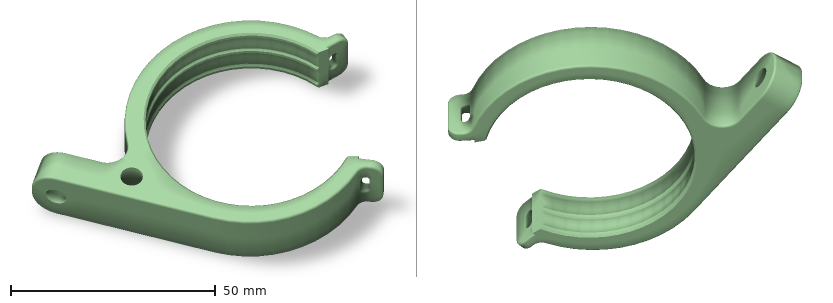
import cadquery as cq
import math

width = 14.5
half_width = width / 2
edge_radius = 0.6

liner_seat_radius = 27.95
liner_end_radius = 28.5
liner_bore_radius = 26.25

rib_height = 0.5
rib_base = 1.8
rib_crest = 0.8
rib_levels = (rib_base / 2 - half_width, 0, half_width - rib_base / 2)

upper_arc_radius = 30.7
upper_arc_y = -0.5
lower_arc_radius = 30.0
lower_arc_y = -1.15
base_y = lower_arc_y - lower_arc_radius

opening_angle = 30.0
jaw_corner_u = 20.1
jaw_corner_v = 16.0
jaw_slope = 21.0
liner_slope = 12.0
opening_reach = 24.45
opening_overlap = 6.1

lip_length = 9.4
lip_thickness = 2.6
lip_blend_radius = 2.8
lip_corner_radius = 3.0

slot_length = 5.7
slot_width = 2.1
slot_offset = 5.0
slot_edge_radius = 0.4
slot_cutter_reach = 8.15

arm_end_x = -46.55
arm_thickness = 8.4
arm_corner_radius = 6.3
arm_blend_radius = 5.0
arm_top_y = base_y + arm_thickness

bolt_diameter = 5.2
bolt_x = arm_end_x + 6.3
pin_diameter = 5.5
pin_x = -22.8
pin_y = -25.0
pin_depth = half_width

tolerance = 0.04


def prism(sketch):
    return sketch.extrude(half_width, both=True)


def disc(radius):
    return prism(cq.Workplane("XY").circle(radius))


def turned(body):
    """Turn a body from the opening axis along +X to its real direction."""
    return body.rotate((0, 0, 0), (0, 0, 1), opening_angle)


def opening(slope):
    """Wedge that opens the ring between the two jaws."""
    slant = math.tan(math.radians(slope))
    near_u = jaw_corner_u - opening_overlap
    near_v = jaw_corner_v - opening_overlap * slant
    far_u = jaw_corner_u + opening_reach
    far_v = jaw_corner_v + opening_reach * slant
    corners = [(near_u, near_v), (far_u, far_v), (far_u, -far_v), (near_u, -near_v)]
    return turned(prism(cq.Workplane("XY").polyline(corners).close()))


def placed_on_jaw(body, side):
    """Move a body from a lip's own axes (X along it, Y outward) to one of the jaws."""
    body = body.rotate((0, 0, 0), (0, 0, 1), jaw_slope)
    body = body.translate((jaw_corner_u, jaw_corner_v, 0))
    if side < 0:
        body = body.mirror("XZ")
    return turned(body)


def lip(side):
    blank = cq.Workplane("XY").box(lip_length, lip_thickness, width, centered=(False, False, True))
    return placed_on_jaw(blank.faces(">X").edges("|Y").fillet(lip_corner_radius), side)


def slot(side):
    cutter = (
        cq.Workplane("XZ")
        .center(slot_offset, 0)
        .slot2D(slot_length, slot_width, 90)
        .extrude(slot_cutter_reach, both=True)
    )
    return placed_on_jaw(cutter, side)


def ring_and_arm():
    """Outline of the shell and the arm, still without opening and bore."""
    blend_y = arm_top_y + arm_blend_radius
    reach = upper_arc_radius + arm_blend_radius
    blend_x = -math.sqrt(reach**2 - (blend_y - upper_arc_y) ** 2)
    share = upper_arc_radius / reach
    blend_end = (blend_x * share, upper_arc_y + (blend_y - upper_arc_y) * share)

    outline = (
        cq.Workplane("XY")
        .moveTo(arm_end_x, base_y)
        .lineTo(0, base_y)
        .radiusArc((lower_arc_radius, lower_arc_y), -lower_arc_radius)
        .lineTo(upper_arc_radius, upper_arc_y)
        .threePointArc((0, upper_arc_y + upper_arc_radius), blend_end)
        .radiusArc((blend_x, arm_top_y), arm_blend_radius)
        .lineTo(arm_end_x, arm_top_y)
        .close()
    )
    return prism(outline).faces("<X").edges("|Y").fillet(arm_corner_radius)


def lip_root(side):
    """Point close to the corner where the outer face of a lip meets the outside of the ring."""
    slope = math.radians(jaw_slope)
    offset = jaw_corner_v * math.cos(slope) - jaw_corner_u * math.sin(slope) + lip_thickness
    angle = math.radians(opening_angle) + side * (slope + math.asin(offset / lower_arc_radius))
    return (lower_arc_radius * math.cos(angle), lower_arc_radius * math.sin(angle), 0)


def is_rim(edge):
    """True for the edges that run round the outline of the shell, false for seams and the bore."""
    middle = edge.positionAt(0.5)
    if abs(math.hypot(middle.x, middle.y) - liner_seat_radius) < tolerance:
        return False
    if edge.geomType() != "LINE":
        return True
    length = edge.Length()
    stands_full_width = edge.BoundingBox().zlen > width - tolerance
    crosses_wall = min(abs(length - arm_thickness), abs(length - lip_thickness)) < tolerance
    return not (stands_full_width or crosses_wall)


def is_slot_mouth(edge):
    """True for the edges that run round the two ends of each strap slot."""
    box = edge.BoundingBox()
    within_slot = max(box.zmax, -box.zmin) < slot_length / 2 + tolerance
    return within_slot and box.xmin > 0 and box.zlen > tolerance


def shell():
    body = ring_and_arm().cut(opening(jaw_slope))
    for side in (1, -1):
        body = body.union(lip(side))
    body = body.cut(disc(liner_seat_radius))
    for side in (1, -1):
        body = body.edges(cq.NearestToPointSelector(lip_root(side))).fillet(lip_blend_radius)
    rim = [edge for edge in body.edges().vals() if is_rim(edge)]
    body = body.newObject(rim).fillet(edge_radius)
    for side in (1, -1):
        body = body.cut(slot(side))
    mouths = [edge for edge in body.edges().vals() if is_slot_mouth(edge)]
    return body.newObject(mouths).fillet(slot_edge_radius)


def rib(level):
    """Ring of trapezoidal section standing inward from the liner bore."""
    crest_radius = liner_bore_radius - rib_height
    section = [
        (liner_end_radius, level - rib_base / 2),
        (liner_bore_radius, level - rib_base / 2),
        (crest_radius, level - rib_crest / 2),
        (crest_radius, level + rib_crest / 2),
        (liner_bore_radius, level + rib_base / 2),
        (liner_end_radius, level + rib_base / 2),
    ]
    return cq.Workplane("XZ").polyline(section).close().revolve(360, (0, 0, 0), (0, 1, 0))


def liner():
    body = disc(liner_end_radius).cut(disc(liner_bore_radius))
    for level in rib_levels:
        body = body.union(rib(level))
    return body.cut(opening(liner_slope))


bolt_hole = (
    cq.Workplane("XZ", origin=(bolt_x, base_y, 0))
    .circle(bolt_diameter / 2)
    .extrude(-arm_thickness)
)
pin_hole = (
    cq.Workplane("XY", origin=(pin_x, pin_y, half_width))
    .circle(pin_diameter / 2)
    .extrude(-pin_depth)
)

result = shell().union(liner()).cut(bolt_hole).cut(pin_hole)